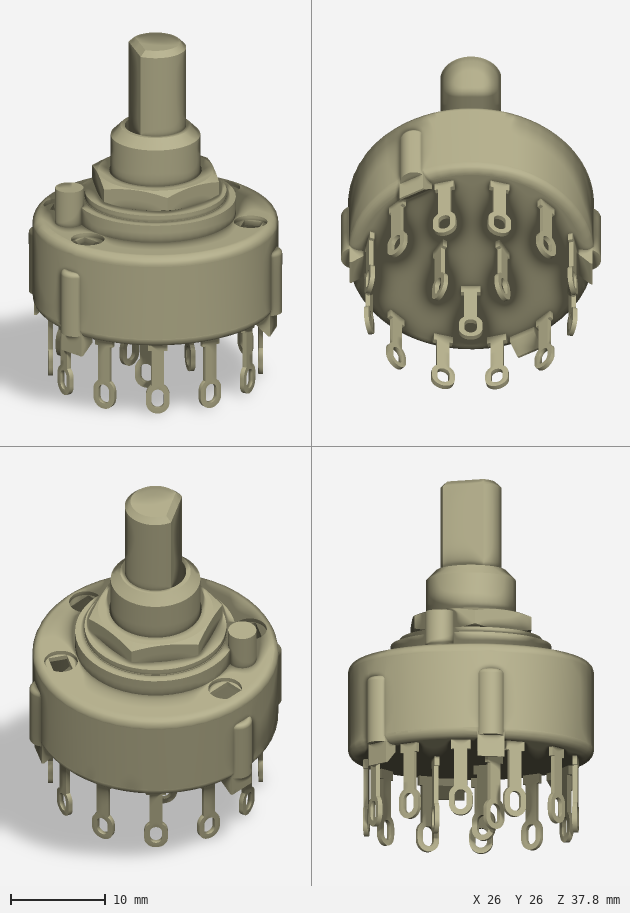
import cadquery as cq

HOUSING_BOTTOM = 8.1
HOUSING_TOP = 18.3
COLLAR_TOP = 20.22
WASHER_TOP = 20.95
NUT_TOP = 23.25
PIN_TOP = 22.25
BUSHING_TOP = 28.3
SHAFT_TOP = 37.8

HOUSING_DIAMETER = 26.0
TOP_FACE_DIAMETER = 24.0
HOUSING_FILLET = (HOUSING_DIAMETER - TOP_FACE_DIAMETER) / 2
HOUSING_WALL = HOUSING_FILLET
COLLAR_DIAMETER = 17.0
BUSHING_DIAMETER = 9.5
BUSHING_CHAMFER = 1.02
PIN_DIAMETER = 3.0
PIN_RADIAL_POSITION = 9.5

POST_ANGLES = (60, 120, 240, 300)
POST_DIAMETER = 2.95
POST_RADIAL_POSITION = 12.3
POST_BOTTOM = 8.3
POST_TOP = 15.42
POST_FILLET = 0.5
LEG_BOTTOM = 6.05
LEG_OUTER_FACE = 12.85
LEG_DEPTH = 1.47
LEG_WIDTH = 2.9
LEG_LEAN = 0.23
LEG_CHAMFER = 1.25
POCKET_DIAMETER = 3.55
POCKET_RADIAL_POSITION = 10.35
POCKET_DEPTH = 0.5
SLOT_WIDTH = 2.85
SLOT_LENGTH = 2.05

OUTER_TERMINAL_COUNT = 12
OUTER_TERMINAL_RADIUS = 11.1
OUTER_TERMINAL_START = 15
INNER_TERMINAL_COUNT = 3
INNER_TERMINAL_RADIUS = 3.8
INNER_TERMINAL_START = 90
TERMINAL_THICKNESS = 0.5
SHOULDER_WIDTH = 2.08
SHOULDER_BOTTOM = 7.1
SHANK_WIDTH = 1.35
EYE_WIDTH = 2.5
EYE_STRAIGHT = 0.85
EYE_SLOT_WIDTH = 1.3

SHAFT_DIAMETER = 6.5
SHAFT_BOTTOM = HOUSING_TOP
SHAFT_CHAMFER = 0.6
SHAFT_FLAT_OFFSET = 2.3

WASHER_DIAMETER = 15.0
SEAT_DIAMETER = 15.15
SEAT_HEIGHT = 0.08
WASHER_BOTTOM = COLLAR_TOP + SEAT_HEIGHT

NUT_CORNER_DIAMETER = 14.3
NUT_FACE_DIAMETER = 12.17
NUT_CHAMFER_HEIGHT = 0.45
NUT_BORE_DIAMETER = 9.8
NUT_ANGLE = -6


def cylinder(diameter, bottom, top):
    """Upright cylinder on the Z axis."""
    return cq.Workplane("XY", origin=(0, 0, bottom)).circle(diameter / 2).extrude(top - bottom)


def around_axis(shape, angle):
    """Shape built on the +X side, turned about Z to the given angle."""
    return shape.rotate((0, 0, 0), (0, 0, 1), angle)


def upright_plate(width, bottom, top):
    """Terminal-thick plate in the YZ plane, centred on the Z axis."""
    height = top - bottom
    return cq.Workplane("XY").box(TERMINAL_THICKNESS, width, height).translate((0, 0, bottom + height / 2))


def terminal(radius, angle):
    """Flat solder terminal with a wide shoulder, a shank and a slotted eye."""
    eye_centre = (EYE_WIDTH + EYE_STRAIGHT) / 2
    eye_plane = cq.Workplane("YZ", origin=(-TERMINAL_THICKNESS / 2, 0, eye_centre))
    eye = eye_plane.slot2D(EYE_WIDTH + EYE_STRAIGHT, EYE_WIDTH, 90).extrude(TERMINAL_THICKNESS)
    eye_slot = eye_plane.slot2D(EYE_SLOT_WIDTH + EYE_STRAIGHT, EYE_SLOT_WIDTH, 90).extrude(TERMINAL_THICKNESS)
    blade = upright_plate(SHOULDER_WIDTH, SHOULDER_BOTTOM, HOUSING_BOTTOM)
    blade = blade.union(upright_plate(SHANK_WIDTH, eye_centre, HOUSING_BOTTOM))
    blade = blade.union(eye).cut(eye_slot)
    return around_axis(blade.translate((radius, 0, 0)), angle)


def snap_post(angle):
    """Round post on the housing wall, with a rounded top and a leaning, chamfered leg below it."""
    post = cylinder(POST_DIAMETER, POST_BOTTOM, POST_TOP).faces(">Z").edges().fillet(POST_FILLET)
    post = post.translate((POST_RADIAL_POSITION, 0, 0))
    inner_face = LEG_OUTER_FACE - LEG_DEPTH
    lean = -LEG_LEAN if angle % 180 < 90 else LEG_LEAN
    leg_top = HOUSING_BOTTOM + HOUSING_FILLET
    outline = [
        (LEG_OUTER_FACE, -LEG_WIDTH / 2),
        (LEG_OUTER_FACE, LEG_WIDTH / 2),
        (inner_face, lean + LEG_WIDTH / 2),
        (inner_face, lean - LEG_WIDTH / 2),
    ]
    stub = cq.Workplane("XY", origin=(0, 0, LEG_BOTTOM)).polyline(outline).close()
    lower_leg = stub.extrude(POST_BOTTOM - LEG_BOTTOM)
    lower_leg = lower_leg.faces("<X").edges("<Z").chamfer(LEG_CHAMFER)
    root = cq.Workplane("XY", origin=(0, 0, POST_BOTTOM)).polyline(outline).close()
    root = root.extrude(leg_top - POST_BOTTOM).intersect(cylinder(HOUSING_DIAMETER, POST_BOTTOM, leg_top))
    return around_axis(post.union(lower_leg).union(root), angle)


def top_pocket(angle):
    """Round pocket in the top face with a rectangular slot through its floor into the cavity."""
    pocket = cylinder(POCKET_DIAMETER, HOUSING_TOP - POCKET_DEPTH, HOUSING_TOP)
    slot = cq.Workplane("XY", origin=(0, 0, HOUSING_TOP - HOUSING_WALL)).rect(SLOT_LENGTH, SLOT_WIDTH)
    slot = slot.extrude(HOUSING_WALL)
    return around_axis(pocket.union(slot).translate((POCKET_RADIAL_POSITION, 0, 0)), angle)


def build_housing():
    """Hollow round housing with collar, bushing, locating pin, snap posts and terminals."""
    body = cylinder(HOUSING_DIAMETER, HOUSING_BOTTOM, HOUSING_TOP).edges().fillet(HOUSING_FILLET)
    for angle in POST_ANGLES:
        body = body.union(snap_post(angle))
    cavity_diameter = HOUSING_DIAMETER - 2 * HOUSING_WALL
    body = body.cut(cylinder(cavity_diameter, HOUSING_BOTTOM + HOUSING_WALL, HOUSING_TOP - HOUSING_WALL))
    for angle in POST_ANGLES:
        body = body.cut(top_pocket(angle))

    collar = cylinder(COLLAR_DIAMETER, HOUSING_TOP, COLLAR_TOP)
    collar = collar.union(cylinder(SEAT_DIAMETER, COLLAR_TOP, WASHER_BOTTOM))
    bushing = cylinder(BUSHING_DIAMETER, HOUSING_TOP, BUSHING_TOP)
    bushing = bushing.faces(">Z").edges().chamfer(BUSHING_CHAMFER)
    pin = cylinder(PIN_DIAMETER, HOUSING_TOP, PIN_TOP).translate((0, -PIN_RADIAL_POSITION, 0))
    body = body.union(collar).union(bushing).union(pin)

    for i in range(OUTER_TERMINAL_COUNT):
        angle = OUTER_TERMINAL_START + i * 360 / OUTER_TERMINAL_COUNT
        body = body.union(terminal(OUTER_TERMINAL_RADIUS, angle))
    for i in range(INNER_TERMINAL_COUNT):
        angle = INNER_TERMINAL_START + i * 360 / INNER_TERMINAL_COUNT
        body = body.union(terminal(INNER_TERMINAL_RADIUS, angle))

    return body.cut(cylinder(SHAFT_DIAMETER, SHAFT_BOTTOM, BUSHING_TOP))


def build_shaft():
    """Round shaft with a flat on the -Y side along its whole length."""
    flat_centre = -SHAFT_FLAT_OFFSET - SHAFT_DIAMETER / 2
    flat = cq.Workplane("XY", origin=(0, flat_centre, SHAFT_BOTTOM)).rect(SHAFT_DIAMETER, SHAFT_DIAMETER)
    flat = flat.extrude(SHAFT_TOP - SHAFT_BOTTOM)
    shaft = cylinder(SHAFT_DIAMETER, SHAFT_BOTTOM, SHAFT_TOP).cut(flat)
    return shaft.faces(">Z").edges().chamfer(SHAFT_CHAMFER)


def build_washer():
    """Flat washer around the bushing."""
    washer = cylinder(WASHER_DIAMETER, WASHER_BOTTOM, WASHER_TOP)
    return washer.cut(cylinder(BUSHING_DIAMETER, WASHER_BOTTOM, WASHER_TOP))


def build_nut():
    """Hexagonal nut with conical chamfers on both faces."""
    height = NUT_TOP - WASHER_TOP
    hexagon = cq.Workplane("XY", origin=(0, 0, WASHER_TOP)).polygon(6, NUT_CORNER_DIAMETER).extrude(height)
    chamfer_width = (NUT_CORNER_DIAMETER - NUT_FACE_DIAMETER) / 2
    envelope = cylinder(NUT_CORNER_DIAMETER, WASHER_TOP, NUT_TOP)
    for face in (">Z", "<Z"):
        envelope = envelope.faces(face).edges().chamfer(NUT_CHAMFER_HEIGHT, chamfer_width)
    nut = hexagon.intersect(envelope).cut(cylinder(NUT_BORE_DIAMETER, WASHER_TOP, NUT_TOP))
    return around_axis(nut, NUT_ANGLE)


housing = build_housing()
shaft = build_shaft()
washer = build_washer()
nut = build_nut()

result = cq.Compound.makeCompound([housing.val(), shaft.val(), washer.val(), nut.val()])